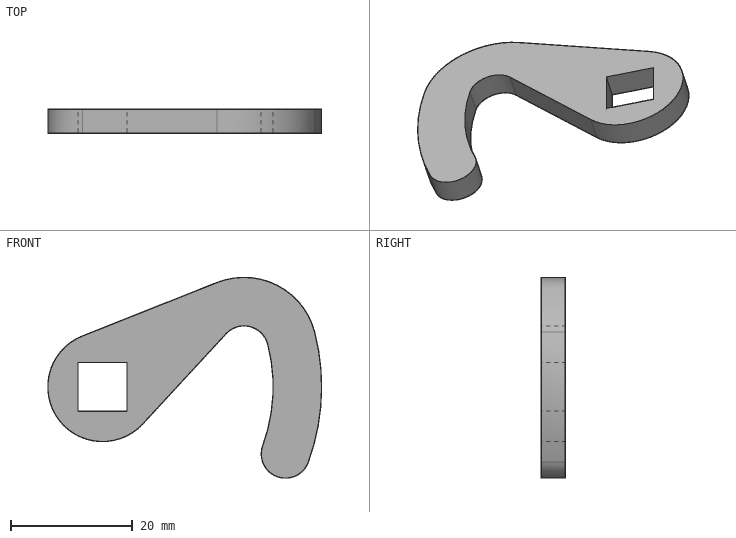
import cadquery as cq
import math

thickness = 4.0
hub_radius = 9.0
square_hole_side = 8.0
hook_width = 8.0
hook_mid_radius = 32.0
bend_inner_radius = 4.0
bend_height = 6.0
tip_height = -11.0

tip_radius = hook_width / 2
hook_outer_radius = hook_mid_radius + tip_radius
hook_inner_radius = hook_mid_radius - tip_radius
bend_outer_radius = bend_inner_radius + hook_width

bend_distance = hook_inner_radius - bend_inner_radius
bend_angle = math.asin(bend_height / bend_distance)
tip_angle = math.asin(tip_height / hook_mid_radius)


def polar(radius, angle, center=(0.0, 0.0)):
    """Point at a radius and angle (radians) from a centre in the XZ plane."""
    return (center[0] + radius * math.cos(angle), center[1] + radius * math.sin(angle))


hub_center = (0.0, 0.0)
bend_center = polar(bend_distance, bend_angle)
tip_center = polar(hook_mid_radius, tip_angle)

upper_normal = (
    bend_angle + math.pi / 2
    + math.asin((bend_outer_radius - hub_radius) / bend_distance)
)
lower_normal = (
    bend_angle - math.pi / 2
    + math.asin((hub_radius + bend_inner_radius) / bend_distance)
)
inner_bend_start = lower_normal + math.pi

hub_mid_angle = (upper_normal + lower_normal + 2 * math.pi) / 2
outer_bend_mid_angle = (upper_normal + bend_angle) / 2
inner_bend_mid_angle = (inner_bend_start + bend_angle) / 2
hook_mid_angle = (bend_angle + tip_angle) / 2
tip_mid_angle = tip_angle - math.pi / 2


def lever_blank():
    """Hub, arm and curved hook as one plate, outlined clockwise from the hub top."""
    outline = (
        cq.Workplane("XZ")
        .moveTo(*polar(hub_radius, upper_normal, hub_center))
        .lineTo(*polar(bend_outer_radius, upper_normal, bend_center))
        .threePointArc(
            polar(bend_outer_radius, outer_bend_mid_angle, bend_center),
            polar(hook_outer_radius, bend_angle),
        )
        .threePointArc(
            polar(hook_outer_radius, hook_mid_angle),
            polar(hook_outer_radius, tip_angle),
        )
        .threePointArc(
            polar(tip_radius, tip_mid_angle, tip_center),
            polar(hook_inner_radius, tip_angle),
        )
        .threePointArc(
            polar(hook_inner_radius, hook_mid_angle),
            polar(hook_inner_radius, bend_angle),
        )
        .threePointArc(
            polar(bend_inner_radius, inner_bend_mid_angle, bend_center),
            polar(bend_inner_radius, inner_bend_start, bend_center),
        )
        .lineTo(*polar(hub_radius, lower_normal, hub_center))
        .threePointArc(
            polar(hub_radius, hub_mid_angle, hub_center),
            polar(hub_radius, upper_normal, hub_center),
        )
        .close()
    )
    return outline.extrude(thickness / 2, both=True)


def square_hole():
    """Square drive hole through the hub."""
    return cq.Workplane("XY").box(square_hole_side, thickness, square_hole_side)


result = lever_blank().cut(square_hole())